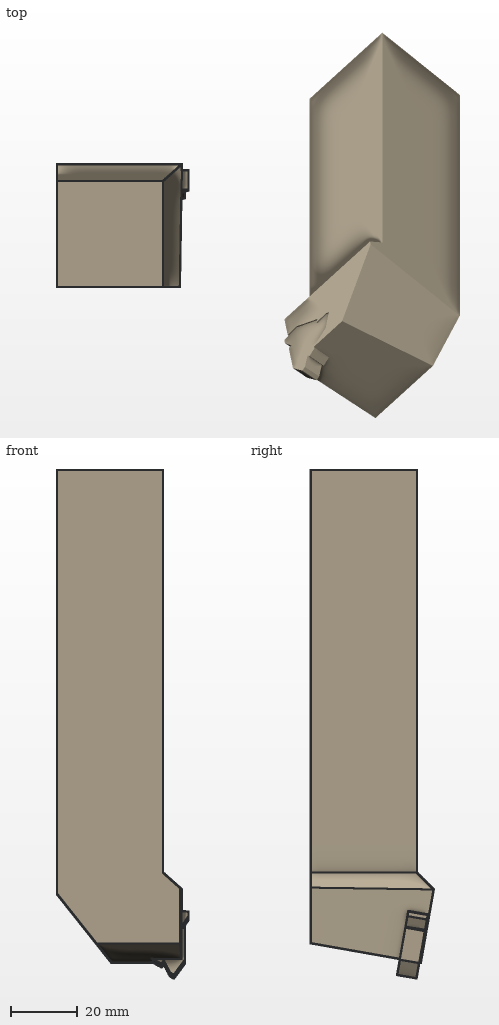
import cadquery as cq
import math

total_length = 152.1
shank_side = 31.8

head_width = 37.4
head_side_taper = 0.6
head_depth = 36.8
flare_top_z = 31.6
flare_end_z = 26.6
bottom_front_z = 10.5
seat_tilt = math.radians(10)

relief_top_z = 25.3
relief_x = 11.7

insert_center_x = 31.6
insert_center_z = 10.6
insert_thickness = 6.0
seat_recess = 0.5
insert_edge_offset = 6.7
tooth_reach = 7.8
tooth_top = 8.4
tooth_end_width = 1.4
notch_height = 3.5
notch_offset = 5.5
edge_end = -6.2
tooth_count = 3


def seat_y(z):
    """Depth of the tilted seat face at height z."""
    return head_depth - (flare_end_z - z) * math.tan(seat_tilt)


def side_prism():
    """Depth outline of the holder, extruded across its width."""
    slope = math.tan(seat_tilt)
    corner_y = (seat_y(0) + bottom_front_z * slope) / (1 + slope**2)
    corner_z = bottom_front_z - corner_y * slope
    outline = [
        (0, total_length),
        (shank_side, total_length),
        (shank_side, flare_top_z),
        (head_depth, flare_end_z),
        (corner_y, corner_z),
        (0, bottom_front_z),
    ]
    return cq.Workplane("YZ").polyline(outline).close().extrude(head_width)


def front_prism():
    """Width outline of the holder with its slanted relief, extruded through its depth."""
    relief_slope = relief_x / (relief_top_z - bottom_front_z)
    outline = [
        (0, total_length),
        (shank_side, total_length),
        (shank_side, flare_top_z),
        (head_width, flare_end_z),
        (head_width, 0),
        (relief_top_z * relief_slope, 0),
        (0, relief_top_z),
    ]
    return cq.Workplane("XZ").polyline(outline).close().extrude(-head_depth)


def side_taper():
    """Thin wedge that narrows the head towards the front."""
    outline = [
        (head_width - head_side_taper, 0),
        (head_width, 0),
        (head_width, head_depth),
    ]
    return cq.Workplane("XY").polyline(outline).close().extrude(total_length)


def insert_prism(start, end):
    """Insert outline, extruded between two depths below the seat face.

    The outline is one tooth and one straight edge, repeated around its centre.
    """
    tooth_outline = [
        (insert_edge_offset, edge_end),
        (insert_edge_offset, notch_height),
        (notch_offset, notch_height),
        (tooth_reach, tooth_top - tooth_end_width),
        (tooth_reach, tooth_top),
    ]
    outline = []
    for i in range(tooth_count):
        turn = i * 2 * math.pi / tooth_count
        for u, v in tooth_outline:
            outline.append((
                u * math.cos(turn) - v * math.sin(turn),
                u * math.sin(turn) + v * math.cos(turn),
            ))
    seat_plane = cq.Plane(
        origin=(insert_center_x, seat_y(insert_center_z), insert_center_z),
        xDir=(1, 0, 0),
        normal=(0, -math.cos(seat_tilt), math.sin(seat_tilt)),
    )
    return cq.Workplane(seat_plane).workplane(offset=start).polyline(outline).close().extrude(end - start)


def make_insert():
    """Threading insert with its outer face just below the seat face."""
    return insert_prism(seat_recess, seat_recess + insert_thickness)


def make_holder():
    """Shank and head, with a matching recess for the insert that opens at the seat face."""
    blank = side_prism().intersect(front_prism()).cut(side_taper())
    return blank.cut(insert_prism(0, seat_recess + insert_thickness))


insert = make_insert()
holder = make_holder()

result = cq.Compound.makeCompound([holder.val(), insert.val()])